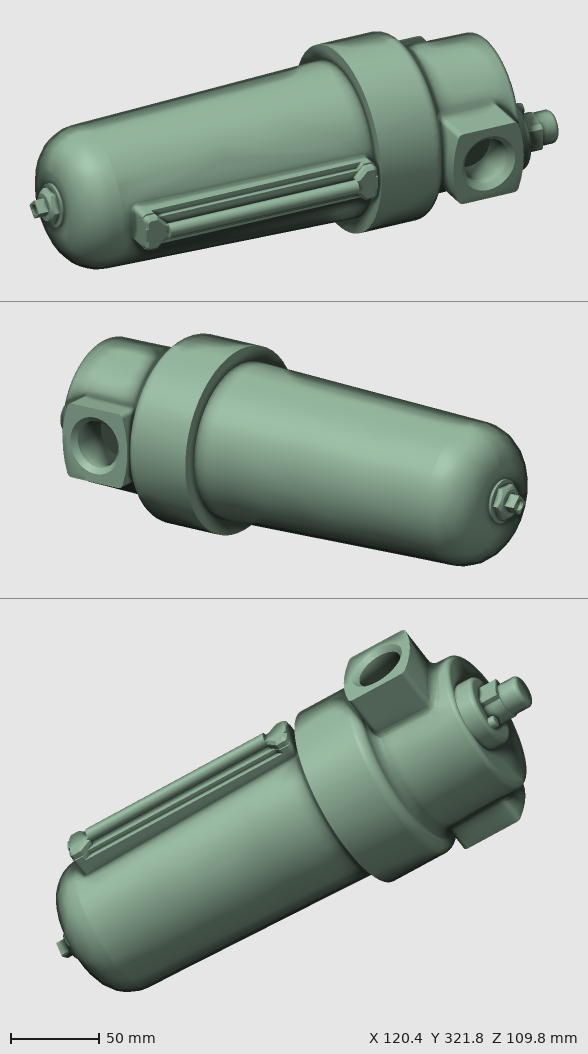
import cadquery as cq
import math


collar_radius = 54.9
collar_length = 35.0
shoulder_round = 6.0
neck_base_radius = 43.0
neck_round = collar_radius - shoulder_round - neck_base_radius
shoulder_y = collar_length + shoulder_round
neck_start_y = shoulder_y + neck_round
head_top_radius = 42.2
head_top_y = 95.3
head_top_fillet = 3.2

port_left_x = -54.7
port_right_x = 65.5
port_center_y = 62.6
port_half_height = 22.2
port_corner_half_width = 18.5
port_bow_half_width = 22.37
port_corner_fillet = 3.2
port_root_fillet = 4.2
bore_diameter = 27.7
bore_mouth_diameter = 33.8
bore_depth = 25.8

bowl_mouth_radius = 46.0
bowl_end_radius = 42.0
bowl_taper_end_y = -157.5
bowl_end_round = 23.0
bowl_end_y = bowl_taper_end_y - bowl_end_round

boss_face_x = 53.5
boss_inner_x = 32.2
boss_top_y = -4.0
boss_bottom_y = -151.0
boss_half_width = 11.3
boss_corner_fillet = 3.0
boss_root_fillet = 1.5
waist_floor_x = 50.5
waist_depth = 3.5
waist_inset = 6.8

tube_radius = 4.02
tube_top_y = -17.5
tube_bottom_y = -137.0
bracket_spans = ((boss_top_y, tube_top_y), (boss_bottom_y, tube_bottom_y))
bracket_height = 4.8
bracket_half_width = 10.3
bracket_chamfer = 1.5
rib_half_width = 4.0
rib_floor_x = 48.5

washer_radius = 12.7
washer_thickness = 1.5
nut_across_flats = 18.5
nut_thickness = 4.8
nut_face_radius = 8.0
nut_chamfer_height = 2.0
drain_tip_y = -192.8
stem_half_diagonal = 6.0
stem_trim_half_height = 5.5
drain_bore_diameter = 6.5
drain_bore_depth = 4.8

indicator_x = 14.2
indicator_z = -15.0
flange_radius = 20.75
flange_thickness = 11.0
flange_fillet = 2.5
flange_top_y = head_top_y + flange_thickness
knob_radius = 10.5
knob_step_length = 11.0
knob_cap_radius = 9.82
knob_tip_y = 129.0
knob_tip_fillet = 2.5
key_reach = 12.0
key_half_width = 7.7
key_chamfer = 1.5
screw_spacing = 31.0
screw_radius = 3.5
screw_height = 4.0
screw_fillet = 1.3


def cylinder_along_y(radius, start_y, length, x=0.0, z=0.0):
    """Cylinder from start_y toward +Y, with its axis at (x, z)."""
    return cq.Workplane(cq.Solid.makeCylinder(radius, length, cq.Vector(x, start_y, z), cq.Vector(0, 1, 0)))


def block(x_range, y_range, z_range):
    """Box between the given lower and upper limits."""
    lows, highs = zip(x_range, y_range, z_range)
    lengths = [high - low for low, high in zip(lows, highs)]
    return cq.Workplane(cq.Solid.makeBox(*lengths, cq.Vector(*lows)))


def revolve_about_y(profile):
    """Solid of revolution from an XY profile, with its seam turned to the +Z side, clear of the ports."""
    return profile.close().revolve(360, (0, 0, 0), (0, 1, 0)).rotate((0, 0, 0), (0, 1, 0), -90)


def make_collar():
    """Collar with an S-shaped shoulder that runs up to the base of the neck."""
    diagonal = math.sqrt(0.5)
    shoulder_inner = collar_radius - shoulder_round
    profile = (
        cq.Workplane("XY")
        .lineTo(collar_radius, 0)
        .lineTo(collar_radius, collar_length)
        .threePointArc(
            (shoulder_inner + shoulder_round * diagonal, collar_length + shoulder_round * diagonal),
            (shoulder_inner, shoulder_y),
        )
        .threePointArc(
            (shoulder_inner - neck_round * diagonal, neck_start_y - neck_round * diagonal),
            (neck_base_radius, neck_start_y),
        )
        .lineTo(0, neck_start_y)
    )
    return revolve_about_y(profile)


def make_neck():
    """Slightly tapered neck; its lower end is buried in the collar."""
    taper = (neck_base_radius - head_top_radius) / (head_top_y - neck_start_y)
    profile = (
        cq.Workplane("XY")
        .lineTo(neck_base_radius + taper * neck_start_y, 0)
        .lineTo(head_top_radius, head_top_y)
        .lineTo(0, head_top_y)
    )
    return revolve_about_y(profile).faces(">Y").edges().fillet(head_top_fillet)


def make_port_bar():
    """Bar along X that forms both ports."""
    inner = port_corner_half_width
    outer = port_bow_half_width
    top = port_half_height
    return (
        cq.Workplane("YZ", origin=(port_left_x, port_center_y, 0))
        .moveTo(-inner, -top)
        .lineTo(inner, -top)
        .threePointArc((outer, 0), (inner, top))
        .lineTo(-inner, top)
        .threePointArc((-outer, 0), (-inner, -top))
        .close()
        .extrude(port_right_x - port_left_x)
        .edges("|X")
        .fillet(port_corner_fillet)
    )


def make_port_bore(face_x, inward):
    """Blind bore with a chamfered mouth, entering along X from face_x in the inward direction (+1 or -1)."""
    mouth_radius = bore_mouth_diameter / 2
    bore_radius = bore_diameter / 2
    mouth_depth = mouth_radius - bore_radius
    start = cq.Vector(face_x, port_center_y, 0)
    direction = cq.Vector(inward, 0, 0)
    bore = cq.Solid.makeCylinder(bore_radius, bore_depth, start, direction)
    mouth = cq.Solid.makeCone(mouth_radius, bore_radius, mouth_depth, start, direction)
    return cq.Workplane(bore).union(cq.Workplane(mouth))


def make_head():
    neck = make_neck().union(make_port_bar())
    neck = neck.edges("%BSPLINE").fillet(port_root_fillet)
    head = neck.union(make_collar())
    return head.cut(make_port_bore(port_left_x, 1)).cut(make_port_bore(port_right_x, -1))


def make_boss():
    """Pad for the sight gauge; its inner part is buried in the bowl."""
    return (
        block((boss_inner_x, boss_face_x), (boss_bottom_y, boss_top_y), (-boss_half_width, boss_half_width))
        .edges("|X")
        .fillet(boss_corner_fillet)
    )


def make_waist(side):
    """Cutter for the shallow recess along one long side of the boss; side is +1 or -1 along Z."""
    top_y = boss_top_y - waist_inset
    bottom_y = boss_bottom_y + waist_inset
    floor_z = boss_half_width - waist_depth
    return (
        cq.Workplane("YZ", origin=(waist_floor_x, 0, 0))
        .moveTo(top_y, side * boss_half_width)
        .lineTo(top_y - waist_depth, side * floor_z)
        .lineTo(bottom_y + waist_depth, side * floor_z)
        .lineTo(bottom_y, side * boss_half_width)
        .close()
        .extrude(boss_face_x - waist_floor_x)
    )


def make_bowl():
    diagonal = math.sqrt(0.5)
    end_flat_radius = bowl_end_radius - bowl_end_round
    profile = (
        cq.Workplane("XY")
        .lineTo(bowl_mouth_radius, 0)
        .lineTo(bowl_end_radius, bowl_taper_end_y)
        .threePointArc(
            (end_flat_radius + bowl_end_round * diagonal, bowl_taper_end_y - bowl_end_round * diagonal),
            (end_flat_radius, bowl_end_y),
        )
        .lineTo(0, bowl_end_y)
    )
    bowl = revolve_about_y(profile).union(make_boss())
    root_zone = cq.selectors.BoxSelector(
        (boss_inner_x, boss_bottom_y - 1.5, -boss_half_width - 1.5),
        (bowl_mouth_radius, boss_top_y + 1.5, boss_half_width + 1.5),
    )
    bowl = bowl.edges(root_zone).fillet(boss_root_fillet)
    for side in (1, -1):
        bowl = bowl.cut(make_waist(side))
    for outer_y, inner_y in bracket_spans:
        bowl = bowl.cut(make_bracket_rib(outer_y, inner_y))
    return bowl


def make_bracket_rib(outer_y, inner_y):
    """Central rib of a bracket, reaching down into the boss."""
    return block(
        (rib_floor_x, boss_face_x + bracket_height),
        sorted((outer_y, inner_y)),
        (-rib_half_width, rib_half_width),
    )


def make_bracket(outer_y, inner_y):
    """End bracket of the sight gauge, tapering at 45 degrees from outer_y toward the tube at inner_y."""
    toward_tube = math.copysign(1, inner_y - outer_y)
    tip_half_width = tube_radius
    taper_start_y = inner_y - toward_tube * (bracket_half_width - tip_half_width)
    outline = [
        (outer_y, -bracket_half_width),
        (outer_y, bracket_half_width),
        (taper_start_y, bracket_half_width),
        (inner_y, tip_half_width),
        (inner_y, -tip_half_width),
        (taper_start_y, -bracket_half_width),
    ]
    outer_end = ">Y" if outer_y > inner_y else "<Y"
    plate = (
        cq.Workplane("YZ", origin=(boss_face_x, 0, 0))
        .polyline(outline)
        .close()
        .extrude(bracket_height)
        .faces(outer_end)
        .edges("|X")
        .fillet(boss_corner_fillet)
        .faces(">X")
        .chamfer(bracket_chamfer)
    )
    return plate.union(make_bracket_rib(outer_y, inner_y))


def make_tube():
    return cylinder_along_y(tube_radius, tube_bottom_y, tube_top_y - tube_bottom_y, boss_face_x + tube_radius)


def make_drain():
    """Washer, hexagon nut with a chamfered face, and a square stem standing on its corner."""
    washer_y = bowl_end_y - washer_thickness
    nut_face_y = washer_y - nut_thickness
    nut_corner_radius = nut_across_flats / math.sqrt(3)
    washer = cylinder_along_y(washer_radius, washer_y, washer_thickness)
    nut = (
        cq.Workplane("XZ", origin=(0, washer_y, 0))
        .polygon(6, 2 * nut_corner_radius)
        .extrude(nut_thickness)
    )
    nut_envelope = revolve_about_y(
        cq.Workplane("XY")
        .moveTo(0, washer_y)
        .lineTo(nut_corner_radius, washer_y)
        .lineTo(nut_corner_radius, nut_face_y + nut_chamfer_height)
        .lineTo(nut_face_radius, nut_face_y)
        .lineTo(0, nut_face_y)
    )
    stem = (
        cq.Workplane("XZ", origin=(0, nut_face_y, 0))
        .polygon(4, 2 * stem_half_diagonal)
        .extrude(nut_face_y - drain_tip_y)
    )
    stem_limits = block(
        (-stem_half_diagonal, stem_half_diagonal),
        (drain_tip_y, nut_face_y),
        (-stem_trim_half_height, stem_trim_half_height),
    )
    bore = cylinder_along_y(drain_bore_diameter / 2, drain_tip_y, drain_bore_depth)
    return washer.union(nut.intersect(nut_envelope)).union(stem.intersect(stem_limits)).cut(bore)


def make_flange():
    flange = cylinder_along_y(flange_radius, head_top_y, flange_thickness, indicator_x, indicator_z)
    return flange.faces(">Y").edges().fillet(flange_fillet)


def make_knob():
    """Stepped knob with a key along its +X side."""
    step_y = flange_top_y + knob_step_length
    base = cylinder_along_y(knob_radius, flange_top_y, knob_step_length, indicator_x, indicator_z)
    cap = cylinder_along_y(knob_cap_radius, step_y, knob_tip_y - step_y, indicator_x, indicator_z)
    cap = cap.faces(">Y").edges().fillet(knob_tip_fillet)
    key = (
        block(
            (indicator_x, indicator_x + key_reach),
            (flange_top_y, step_y),
            (indicator_z - key_half_width, indicator_z + key_half_width),
        )
        .faces(">X")
        .edges("|Y")
        .chamfer(key_chamfer)
    )
    return base.union(cap).union(key)


def make_screw(side):
    """Screw head on the flange; side is +1 or -1 along Z from the knob."""
    screw_z = indicator_z + side * screw_spacing / 2
    screw = cylinder_along_y(screw_radius, flange_top_y, screw_height, indicator_x, screw_z)
    return screw.faces(">Y").edges().fillet(screw_fillet)


head = make_head()
bowl = make_bowl()
drain = make_drain()
flange = make_flange()
knob = make_knob()
screws = [make_screw(side) for side in (1, -1)]
tube = make_tube()
brackets = [make_bracket(outer_y, inner_y) for outer_y, inner_y in bracket_spans]

result = cq.Compound.makeCompound(
    [
        head.val(),
        bowl.val(),
        drain.val(),
        flange.val(),
        knob.val(),
        *[screw.val() for screw in screws],
        tube.val(),
        *[bracket.val() for bracket in brackets],
    ]
)